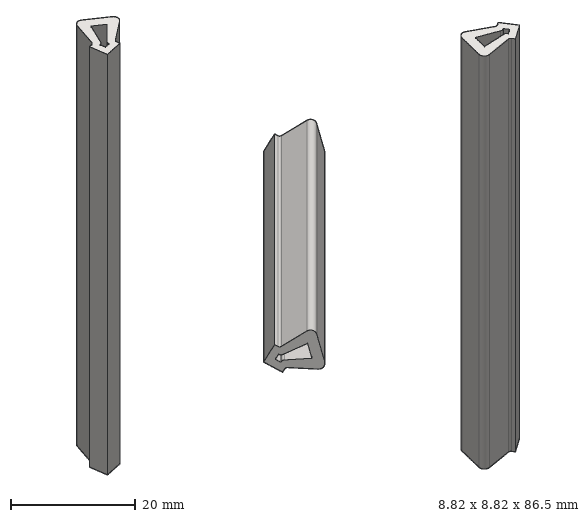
import cadquery as cq

length = 86.5
corner = 4.4
leg = 3.55
leg_thickness = 0.95
shoulder_radius = 0.5
blade_tip_x = 0.4
blade_tip_y = 5.1
tip_radius = 1.0

bore_corner = 3.0
bore_leg = 1.0
bore_shoulder = 0.4
bore_shoulder_radius = 0.7
bore_tip_x = -0.1
bore_tip_y = 2.0


def symmetric_prism(half_outline, square_corner):
    """Extrude an outline made of one half, its mirror image and the square corner."""
    mirrored = [(-y, -x) for x, y in reversed(half_outline)]
    points = [(square_corner, -square_corner)] + half_outline + mirrored
    return cq.Workplane("XY").polyline(points).close().extrude(length)


outer_half = [
    (corner, leg - corner),
    (corner - leg_thickness, leg - corner),
    (blade_tip_x, blade_tip_y),
]
bore_half = [
    (bore_corner, bore_leg - bore_corner),
    (bore_corner - bore_shoulder, bore_leg - bore_corner),
    (bore_tip_x, bore_tip_y),
]


def round_mirrored_edges(solid, corner_point, radius):
    """Fillet the upright edge at a corner point and its mirror image."""
    x, y = corner_point
    for edge_x, edge_y in [(x, y), (-y, -x)]:
        upright_edge = cq.selectors.NearestToPointSelector((edge_x, edge_y, length / 2))
        solid = solid.edges("|Z").edges(upright_edge).fillet(radius)
    return solid


shoulder_point, tip_point = outer_half[1:]
body = symmetric_prism(outer_half, corner)
body = round_mirrored_edges(body, tip_point, tip_radius)
body = round_mirrored_edges(body, shoulder_point, shoulder_radius)

bore = symmetric_prism(bore_half, bore_corner)
bore = round_mirrored_edges(bore, bore_half[1], bore_shoulder_radius)

result = body.cut(bore)